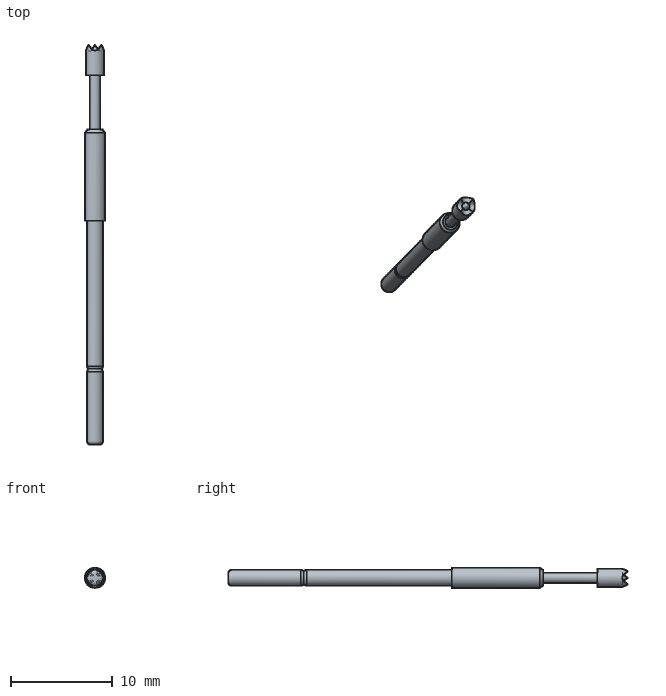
import cadquery as cq
import math


collar_diameter = 2.0
head_diameter = 1.8
tube_diameter = 1.6
plunger_diameter = 1.04

overall_length = 39.3
tube_length = 22.0
collar_length = 9.0
head_length = 3.0

collar_chamfer_length = 0.35
collar_chamfer_width = 0.25
tail_radius = 0.37
crimp_offset = 7.46
crimp_tail_width = 0.3
crimp_head_width = 0.25
crimp_depth = 0.1

notch_depth = 0.55
notch_root_radius = 0.4
center_tip_radius = 0.4

diagonal = math.sqrt(0.5)

collar_radius = collar_diameter / 2
head_radius = head_diameter / 2
tube_radius = tube_diameter / 2
plunger_radius = plunger_diameter / 2
tail_y = -tube_length
tip_y = tail_y + overall_length
head_base_y = tip_y - head_length
notch_floor_y = tip_y - notch_depth
crimp_y = tail_y + crimp_offset
notch_half_width = head_radius * diagonal


def revolve_about_y(profile):
    """Close a half profile and turn it around the probe axis."""
    return profile.close().revolve(360, (0, 0, 0), (0, 1, 0))


def make_tube():
    """Tube with a rounded tail end and a shallow V-shaped crimp groove."""
    round_mid = tail_radius * diagonal
    return revolve_about_y(
        cq.Workplane("XY")
        .moveTo(0, tail_y)
        .lineTo(tube_radius - tail_radius, tail_y)
        .threePointArc(
            (tube_radius - tail_radius + round_mid, tail_y + tail_radius - round_mid),
            (tube_radius, tail_y + tail_radius),
        )
        .lineTo(tube_radius, crimp_y - crimp_tail_width)
        .lineTo(tube_radius - crimp_depth, crimp_y)
        .lineTo(tube_radius, crimp_y + crimp_head_width)
        .lineTo(tube_radius, 0)
        .lineTo(0, 0)
    )


def make_collar():
    """Press-fit collar with a chamfer at its plunger end."""
    return revolve_about_y(
        cq.Workplane("XY")
        .lineTo(collar_radius, 0)
        .lineTo(collar_radius, collar_length - collar_chamfer_length)
        .lineTo(collar_radius - collar_chamfer_width, collar_length)
        .lineTo(0, collar_length)
    )


def make_plunger():
    """Slim shaft carrying the plain cylindrical head."""
    return revolve_about_y(
        cq.Workplane("XY")
        .lineTo(plunger_radius, 0)
        .lineTo(plunger_radius, head_base_y)
        .lineTo(head_radius, head_base_y)
        .lineTo(head_radius, tip_y)
        .lineTo(0, tip_y)
    )


def make_notch():
    """V-shaped cutter with a rounded root, running through the head along Z."""
    root_center_depth = notch_depth - notch_root_radius
    corner_distance = math.hypot(notch_half_width, root_center_depth)
    corner_angle = math.atan2(root_center_depth, notch_half_width)
    tangent_angle = corner_angle - math.acos(notch_root_radius / corner_distance)
    root_center_y = notch_floor_y + notch_root_radius
    tangent_x = notch_root_radius * math.cos(tangent_angle)
    tangent_y = root_center_y + notch_root_radius * math.sin(tangent_angle)
    return (
        cq.Workplane("XY")
        .moveTo(-notch_half_width, tip_y)
        .lineTo(-tangent_x, tangent_y)
        .threePointArc((0, notch_floor_y), (tangent_x, tangent_y))
        .lineTo(notch_half_width, tip_y)
        .close()
        .extrude(head_diameter, both=True)
    )


def make_center_tip():
    """Pointed cone in the middle of the crown, level with the outer teeth."""
    root_y = notch_floor_y - notch_depth
    return revolve_about_y(
        cq.Workplane("XY")
        .moveTo(0, root_y)
        .lineTo(center_tip_radius, root_y)
        .lineTo(center_tip_radius, notch_floor_y)
        .lineTo(0, tip_y)
    )


plunger = make_plunger()
for turn in (0, 90):
    plunger = plunger.cut(make_notch().rotate((0, 0, 0), (0, 1, 0), turn))

result = make_tube().union(make_collar()).union(plunger).union(make_center_tip())